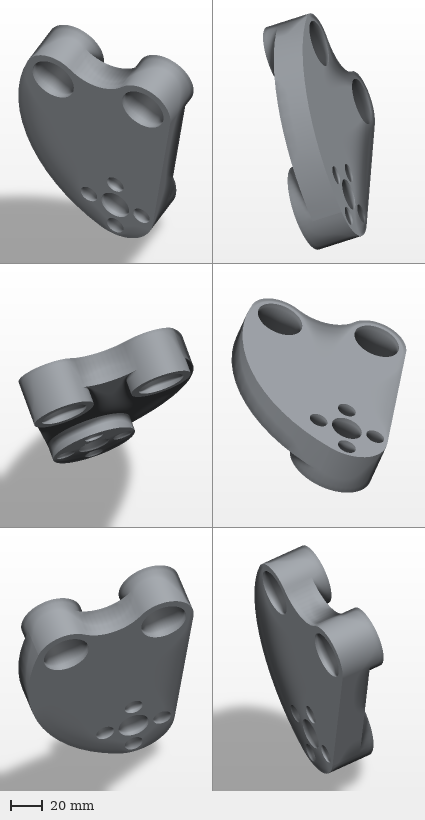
import cadquery as cq
import math

plate_thickness = 20.0
boss_depth = 30.0

hub_diameter = 55.0
hub_bore_diameter = 20.0
bolt_hole_diameter = 12.0
bolt_circle_radius = 19.0
bolt_count = 4

upper_boss_diameter = 40.0
upper_bore_diameter = 30.0
left_center = (-45.0, 93.4)
right_center = (20.0, 100.0)

valley_radius = 27.7
left_edge_radius = 98.2

hub_center = (0, 0)
hub_radius = hub_diameter / 2
upper_radius = upper_boss_diameter / 2


def tangent_center(start, start_distance, end, end_distance):
    """Point at given distances from two centers, to the right of start -> end."""
    dx = end[0] - start[0]
    dz = end[1] - start[1]
    span = math.hypot(dx, dz)
    along = (start_distance**2 - end_distance**2 + span**2) / (2 * span)
    across = math.sqrt(start_distance**2 - along**2)
    return (
        start[0] + (along * dx + across * dz) / span,
        start[1] + (along * dz - across * dx) / span,
    )


def point_toward(center, target, distance):
    """Point at a signed distance from center along the line to target."""
    dx = target[0] - center[0]
    dz = target[1] - center[1]
    span = math.hypot(dx, dz)
    return (center[0] + distance * dx / span, center[1] + distance * dz / span)


def point_at(center, radius, angle):
    return (center[0] + radius * math.cos(angle), center[1] + radius * math.sin(angle))


def front_plane():
    """XZ sketch plane on the front face; negative extrusions run along +Y."""
    return cq.Workplane("XZ")


def cylinder(center, diameter):
    return front_plane().center(*center).circle(diameter / 2).extrude(-boss_depth)


left_edge_center = tangent_center(
    hub_center, left_edge_radius - hub_radius, left_center, left_edge_radius - upper_radius
)
hub_left = point_toward(hub_center, left_edge_center, -hub_radius)
left_outer = point_toward(left_center, left_edge_center, -upper_radius)
left_edge_chord_middle = ((hub_left[0] + left_outer[0]) / 2, (hub_left[1] + left_outer[1]) / 2)
left_edge_middle = point_toward(left_edge_center, left_edge_chord_middle, left_edge_radius)

valley_center = tangent_center(
    right_center, upper_radius + valley_radius, left_center, upper_radius + valley_radius
)
left_inner = point_toward(left_center, valley_center, upper_radius)
right_inner = point_toward(right_center, valley_center, upper_radius)
upper_middle = ((left_center[0] + right_center[0]) / 2, (left_center[1] + right_center[1]) / 2)
valley_bottom = point_toward(valley_center, upper_middle, valley_radius)

right_span = math.hypot(*right_center)
right_normal_angle = math.atan2(right_center[1], right_center[0]) - math.acos(
    (hub_radius - upper_radius) / right_span
)
right_outer = point_at(right_center, upper_radius, right_normal_angle)
hub_right = point_at(hub_center, hub_radius, right_normal_angle)

web = (
    front_plane()
    .moveTo(*hub_center)
    .lineTo(*hub_left)
    .threePointArc(left_edge_middle, left_outer)
    .lineTo(*left_center)
    .lineTo(*left_inner)
    .threePointArc(valley_bottom, right_inner)
    .lineTo(*right_center)
    .lineTo(*right_outer)
    .lineTo(*hub_right)
    .close()
    .extrude(-plate_thickness)
)

body = web.union(cylinder(hub_center, hub_diameter))
for center in (left_center, right_center):
    body = body.union(cylinder(center, upper_boss_diameter))

body = body.cut(cylinder(hub_center, hub_bore_diameter))
for center in (left_center, right_center):
    body = body.cut(cylinder(center, upper_bore_diameter))

for index in range(bolt_count):
    bolt_center = point_at(hub_center, bolt_circle_radius, index * 2 * math.pi / bolt_count)
    body = body.cut(cylinder(bolt_center, bolt_hole_diameter))

result = body